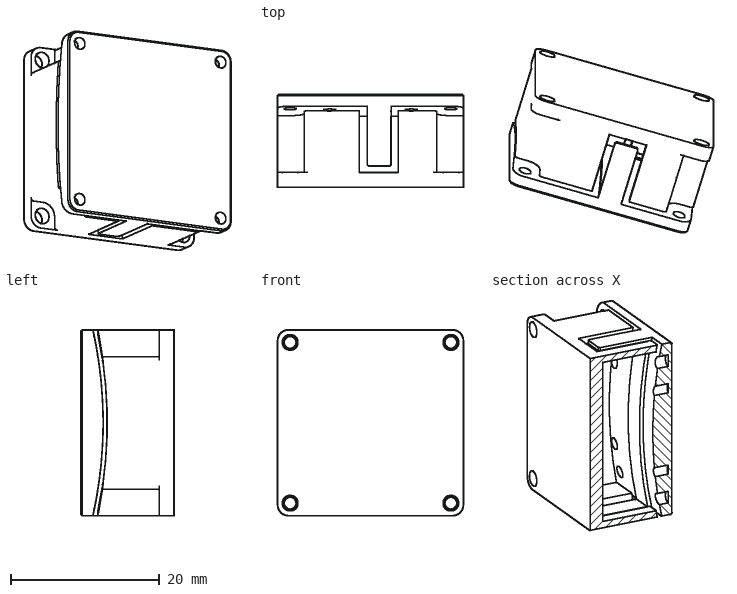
import cadquery as cq

side = 25.0
half = side / 2
depth = 12.5
front_y = -depth / 2
back_y = depth / 2
corner_radius = 1.5

flange_thickness = 2.0
flange_y = front_y + flange_thickness
rim_middle_y = 2.74
rim_end_y = 4.02
notch_size = 3.6
notch_inner_radius = 1.8
notch_edge_radius = 0.4
end_wall = 1.0
cavity_x = 5.9
cavity_z = half - end_wall

lid_middle_y = 3.27
lid_end_y = 4.65
lid_chamfer = 0.2

slot_left = -1.5
slot_right = 3.7
tongue_left = -0.45
tongue_right = 2.78
tongue_thickness = 0.5
tongue_end_y = -3.42
tongue_chamfer = 0.2
rib_height = 0.56

screw_offset = 10.8
clearance_diameter = 2.1
screw_diameter = 1.6
upper_hole = (5.5, 9.9)
inner_hole = (6.0, 5.9)
lid_hole_depth = 1.0

SIGNS = (-1, 1)
CORNERS = [(sx * screw_offset, sz * screw_offset) for sx in SIGNS for sz in SIGNS]


def box(x0, x1, y0, y1, z0, z1):
    """Box between two opposite corners."""
    return cq.Workplane("XY").box(x1 - x0, y1 - y0, z1 - z0, centered=False).translate((x0, y0, z0))


def cylinders(points, diameter, y0, y1):
    """Cylinders along Y at (x, z) points, reaching from y0 to y1."""
    rods = cq.Workplane("XY").pushPoints([(x, -z) for x, z in points]).circle(diameter / 2).extrude(y1 - y0)
    return rods.rotate((0, 0, 0), (1, 0, 0), -90).translate((0, y0, 0))


def rounded_block(y0, y1):
    """Full-size square block with rounded corners."""
    return box(-half, half, y0, y1, -half, half).edges("|Y").fillet(corner_radius)


def arched_block(x0, x1, y0, end_y, middle_y):
    """Block from y0 to an arc in the Y-Z plane, spanning the whole height."""
    return (
        cq.Workplane("YZ", origin=(x0, 0, 0))
        .moveTo(y0, -half)
        .lineTo(end_y, -half)
        .threePointArc((middle_y, 0), (end_y, half))
        .lineTo(y0, half)
        .close()
        .extrude(x1 - x0)
    )


def make_walls():
    """Side walls: a plus-shaped prism with rounded notches at its corners."""
    arm = half - notch_size
    walls = box(-half, half, flange_y, back_y, -arm, arm).union(box(-arm, arm, flange_y, back_y, -half, half))
    inside = arm + notch_edge_radius
    reentrant = cq.selectors.BoxSelector((-inside, flange_y, -inside), (inside, back_y, inside))
    walls = walls.edges("|Y").edges(reentrant).fillet(notch_inner_radius)
    for axis in ("X", "Z"):
        for end in "<>":
            walls = walls.faces(end + axis).edges("|Y").fillet(notch_edge_radius)
    return walls.intersect(arched_block(-half, half, flange_y, rim_end_y, rim_middle_y))


def make_base():
    """Base with its cavity, the two tongue slots and the corner clearance holes."""
    base = rounded_block(front_y, flange_y).union(make_walls())
    cavity = box(-cavity_x, cavity_x, flange_y, back_y, -cavity_z, cavity_z)
    slots = box(slot_left, slot_right, flange_y, back_y, -half, half)
    return base.cut(cavity).cut(slots).cut(cylinders(CORNERS, clearance_diameter, front_y, flange_y))


def make_tongue():
    """Upper tongue, with the corners of its free end chamfered."""
    tongue = box(tongue_left, tongue_right, tongue_end_y, lid_end_y, half - tongue_thickness, half)
    return tongue.faces("<Y").edges("|Z").chamfer(tongue_chamfer)


def make_lid():
    """Lid with its rib, two tongues, through holes and blind holes."""
    lid = rounded_block(front_y, back_y).faces(">Y").edges().chamfer(lid_chamfer)
    lid = lid.intersect(arched_block(-half, half, back_y, lid_end_y, lid_middle_y))
    rib_end_y = lid_end_y - rib_height
    rib_middle_y = lid_middle_y - rib_height
    rib = arched_block(tongue_left, tongue_right, lid_end_y, rib_end_y, rib_middle_y)
    tongue = make_tongue()
    lid = lid.union(rib).union(tongue).union(tongue.mirror("XY"))
    blind_points = [(sx * x, sz * z) for sx in SIGNS for sz in SIGNS for x, z in (upper_hole, inner_hole)]
    lid = lid.cut(cylinders(CORNERS, screw_diameter, front_y, back_y))
    return lid.cut(cylinders(blind_points, screw_diameter, front_y, lid_end_y + lid_hole_depth))


base = make_base()
lid = make_lid()

result = cq.Compound.makeCompound([base.val(), lid.val()])